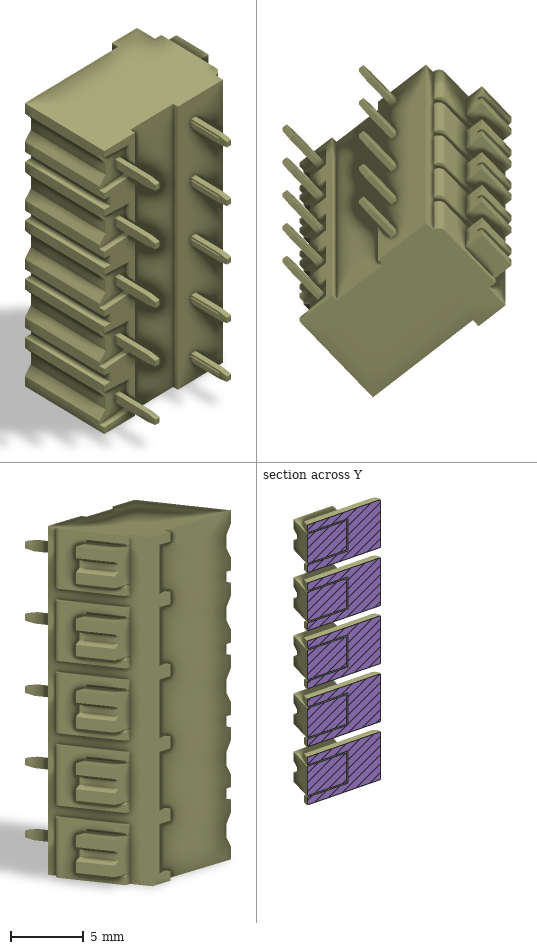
import cadquery as cq

height = 24.52
pole_count = 5
pole_pitch = 5.08
pole_width = height - (pole_count - 1) * pole_pitch
pole_gap = pole_pitch - pole_width
pole_centres = [pole_width / 2 + i * pole_pitch for i in range(pole_count)]
gap_centres = [z + pole_pitch / 2 for z in pole_centres[:-1]]

flange_depth = 0.61
flange_front = 9.12
shoulder_y = 11.57
housing_right = 8.39
recess_x = 7.92
recess_front = 3.0
recess_back = 7.18
ridge_left = 1.77
ridge_right = 7.65
ridge_top = 12.19
ridge_radius = 0.56

flange_bar_y = 10.6
flange_end_finger = 0.69

gap_depth = 0.6
groove_depth = 0.6
groove_mouth = 2.45
groove_floor = 1.03

pocket_mouth = 3.1
pocket_floor = 2.75
pocket_depth = 2.45

button_right = 4.9
button_top = 13.65
button_height = 2.62
button_clearance = 0.07
mouth_chamfer = 0.17
notch_depth = 0.5
notch_mouth = 1.0
notch_floor = 0.55

front_pin_y = 1.7
pin_row_spacing = 7.0
back_pin_y = front_pin_y + pin_row_spacing
pin_tip = 11.9
pin_taper_start = 11.13
pin_width = 0.74
pin_tip_width = 0.47
pin_thickness = 0.42
pad_height = 0.07
pad_width = 0.35


def box(x0, x1, y0, y1, z0, z1):
    """Axis-aligned block between two opposite corners."""
    return cq.Workplane("XY").box(x1 - x0, y1 - y0, z1 - z0, centered=False).translate((x0, y0, z0))


def trapezoid(x0, x1, y0, width0, y1, width1, z):
    """Prism along X, with its width in Z going from width0 at y0 to width1 at y1."""
    corners = [
        (y0, z - width0 / 2),
        (y1, z - width1 / 2),
        (y1, z + width1 / 2),
        (y0, z + width0 / 2),
    ]
    return cq.Workplane("YZ", origin=(x0, 0, 0)).polyline(corners).close().extrude(x1 - x0)


def housing():
    return (
        cq.Workplane("XY")
        .moveTo(flange_depth, 0)
        .lineTo(housing_right, 0)
        .lineTo(housing_right, recess_front)
        .lineTo(recess_x, recess_front)
        .lineTo(recess_x, recess_back)
        .lineTo(housing_right, recess_back)
        .lineTo(housing_right, shoulder_y)
        .lineTo(ridge_right, shoulder_y)
        .lineTo(ridge_right, ridge_top - ridge_radius)
        .radiusArc((ridge_right - ridge_radius, ridge_top), -ridge_radius)
        .lineTo(ridge_left, ridge_top)
        .lineTo(ridge_left, shoulder_y)
        .lineTo(0, shoulder_y)
        .lineTo(0, flange_front)
        .lineTo(flange_depth, flange_front)
        .close()
        .extrude(height)
    )


def gap_cut(z):
    """Front slot and back slot that separate two neighbouring poles."""
    low = z - pole_gap / 2
    high = z + pole_gap / 2
    front = box(0, housing_right, 0, gap_depth, low, high)
    back = box(ridge_left, ridge_right, shoulder_y, ridge_top, low, high)
    return front.union(back)


def flange_pocket(z):
    """Pocket that leaves a bar and one finger on each side of the pole."""
    low = max(z - pole_width / 2, flange_end_finger)
    high = min(z + pole_width / 2, height - flange_end_finger)
    return box(0, flange_depth, flange_front, flange_bar_y, low, high)


def front_groove(z):
    return trapezoid(flange_depth, recess_x, 0, groove_mouth, groove_depth, groove_floor, z)


def pin_pocket(z):
    return trapezoid(recess_x, housing_right, 0, pocket_mouth, pocket_depth, pocket_floor, z)


def button_slot(z):
    """Slot in the ridge around a button, with a chamfered mouth."""
    slot_height = button_height + 2 * button_clearance
    slot_right = button_right + button_clearance
    chamfer_y = ridge_top - mouth_chamfer
    slot = trapezoid(ridge_left, slot_right, shoulder_y, slot_height, ridge_top, slot_height, z)
    mouth = trapezoid(
        ridge_left, slot_right, chamfer_y, slot_height, ridge_top, slot_height + 2 * mouth_chamfer, z
    )
    return slot.union(mouth)


def button(z):
    low = z - button_height / 2
    high = z + button_height / 2
    body = box(ridge_left, button_right, shoulder_y, button_top, low, high)
    notch_y = button_top - notch_depth
    return body.cut(trapezoid(ridge_left, button_right, notch_y, notch_floor, button_top, notch_mouth, z))


def pin(y, z, pad_side):
    """Flat pin with a tapered tip and a thin raised pad on its +Y (1) or -Y (-1) face."""
    half = pin_width / 2
    half_tip = pin_tip_width / 2
    outline = [
        (recess_x, -half),
        (pin_taper_start, -half),
        (pin_tip, -half_tip),
        (pin_tip, half_tip),
        (pin_taper_start, half),
        (recess_x, half),
    ]
    blade = cq.Workplane("XZ").polyline(outline).close().extrude(pin_thickness / 2, both=True)
    pad_reach = pin_thickness / 2 + pad_height
    pad_low = min(0, pad_side * pad_reach)
    pad_high = max(0, pad_side * pad_reach)
    pad = box(recess_x, pin_taper_start, pad_low, pad_high, -pad_width / 2, pad_width / 2)
    return blade.union(pad).translate((0, y, z))


result = housing()

for gap_z in gap_centres:
    result = result.cut(gap_cut(gap_z))

for pole_z in pole_centres:
    for cutter in (flange_pocket, front_groove, pin_pocket, button_slot):
        result = result.cut(cutter(pole_z))
    result = result.union(button(pole_z))
    result = result.union(pin(front_pin_y, pole_z, 1))
    result = result.union(pin(back_pin_y, pole_z, -1))